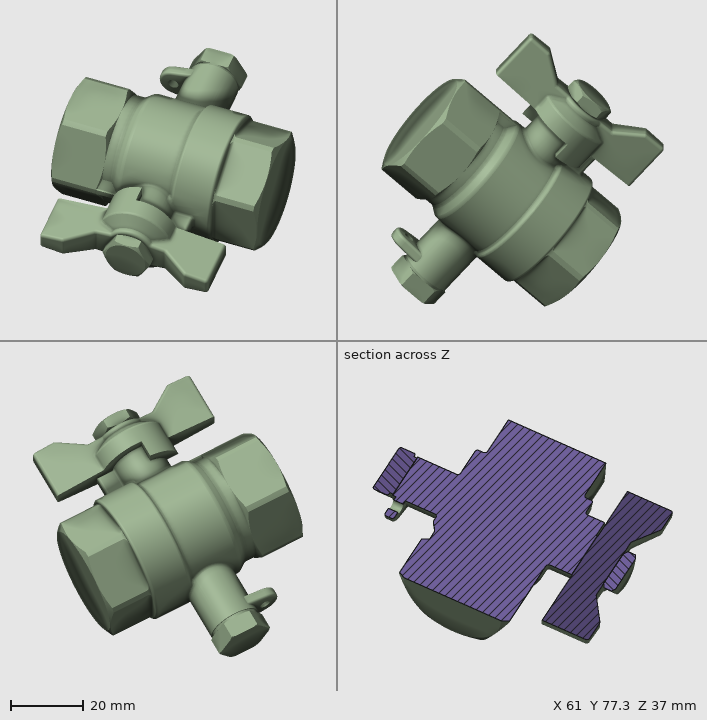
import cadquery as cq
import math


port_x = 30.495
hex_flat_r = 15.45
hex_corner_r = 17.4
port_chamfer = 1.1
port_face_r = 15.3
left_hex_end_x = -15.45
neck_r = hex_flat_r
left_cone_x = (-12.45, -9.8)
barrel_r = hex_corner_r
step_cone_x = (5.2, 6.1)
collar_r = 18.51
collar_end_x = 17.5
left_cone_fillet = 1.8
step_fillet = 0.8
collar_fillet = 0.8
flat_root_fillet = 0.85

rib_half_width = 0.83
rib_wall_r = 16.85
rib_root_half_width = 3.25
rib_x = (-16.5, -10.05)

boss_r = 7.4
boss_front_y = -25.1
boss_back_y = 31.6
boss_root_fillet = 0.85

stop_half_z = 2.0
stop_end_x = 12.6
stop_end_y = -24.7
stop_fillet = 0.8

lug_y = 28.9
lug_thickness = 3.1
lug_tip_x = -10.2
lug_tip_r = 4.25
lug_flare_angle = 12.3
lug_hole_d = 3.0
lug_fillet = 0.8

plug_end_y = 37.6
plug_hex_y = 32.5
plug_flat_r = 6.995
plug_neck_r = 7.0
plug_chamfer = 0.3

handle_end_y = -39.7
wing_half_span = 24.9
wing_ledge_x = 17.85
wing_valley_x = 10.1
wing_center_half_z = 4.95
wing_tip_half_z = 2.5
wing_fillet = 0.9
wing_bend_fillet = 0.9
hub_r = 10.9
hub_cone_y = (-30.15, -32.7)
hub_ring_r = 7.35
hub_end_y = -34.3
hub_edge_fillet = 0.8
skirt_end_y = -20.2
skirt_gap_x = 1.8
wing_root_fillet = 0.9

bolt_end_y = -38.1
bolt_flat_r = 6.1
bolt_chamfer = 0.7


def cylinder_y(radius, y_start, y_end):
    """Cylinder about the Y axis from y_start up to y_end."""
    return cq.Workplane("XZ", origin=(0, y_start, 0)).circle(radius).extrude(y_start - y_end)


def edges_in_box(body, x_span, y_span, half_z, direction=None):
    """Edges whose centers lie in a box that is symmetric about Z = 0."""
    margin = 0.1
    low = (x_span[0] - margin, y_span[0] - margin, -half_z - margin)
    high = (x_span[1] + margin, y_span[1] + margin, half_z + margin)
    found = body.edges(cq.selectors.BoxSelector(low, high))
    if direction:
        found = found.edges(direction)
    return found.vals()


def circles(body, x, radius):
    """Circular edges about the X axis at a given place."""
    return [
        edge for edge in body.edges("%CIRCLE").vals()
        if math.isclose(edge.arcCenter().x, x, abs_tol=0.01)
        and math.isclose(edge.radius(), radius, abs_tol=0.01)
    ]


def turned_barrel():
    points = [
        (left_hex_end_x - port_chamfer, 0),
        (left_hex_end_x - port_chamfer, neck_r),
        (left_cone_x[0], neck_r),
        (left_cone_x[1], barrel_r),
        (step_cone_x[0], barrel_r),
        (step_cone_x[1], collar_r),
        (collar_end_x, collar_r),
        (collar_end_x, 0),
    ]
    barrel = cq.Workplane("XY").polyline(points).close().revolve(360, (0, 0, 0), (1, 0, 0))
    fillets = [
        (left_cone_x[0], neck_r, left_cone_fillet),
        (left_cone_x[1], barrel_r, left_cone_fillet),
        (step_cone_x[0], barrel_r, step_fillet),
        (step_cone_x[1], collar_r, step_fillet),
        (collar_end_x, collar_r, collar_fillet),
    ]
    for x, radius, size in fillets:
        barrel = barrel.newObject(circles(barrel, x, radius)).fillet(size)
    return barrel


def left_hex():
    """Port hexagon with flats facing +Z and -Z, chamfered at both ends."""
    points = [
        (-port_x, 0),
        (-port_x, port_face_r),
        (-port_x + port_chamfer, hex_corner_r),
        (left_hex_end_x - port_chamfer, hex_corner_r),
        (left_hex_end_x, neck_r),
        (left_hex_end_x, 0),
    ]
    turned = cq.Workplane("XY").polyline(points).close().revolve(360, (0, 0, 0), (1, 0, 0))
    across_corners = 2 * hex_flat_r / math.cos(math.pi / 6)
    prism = (
        cq.Workplane("YZ", origin=(-port_x, 0, 0))
        .polygon(6, across_corners)
        .extrude(port_x + left_hex_end_x)
    )
    return turned.intersect(prism)


def right_hex():
    """Port hexagon with flats facing +Y and -Y, milled up to a filleted root at the collar."""
    points = [
        (collar_end_x, 0),
        (collar_end_x, hex_corner_r),
        (port_x - port_chamfer, hex_corner_r),
        (port_x, port_face_r),
        (port_x, 0),
    ]
    turned = cq.Workplane("XY").polyline(points).close().revolve(360, (0, 0, 0), (1, 0, 0))
    cut_length = port_x - collar_end_x
    cutter = (
        cq.Workplane("XY")
        .box(cut_length, hex_corner_r, 2 * hex_corner_r, centered=(False, False, True))
        .translate((collar_end_x, hex_flat_r, 0))
        .edges("<X and <Y")
        .fillet(flat_root_fillet)
    )
    for side in range(6):
        turned = turned.cut(cutter.rotate((0, 0, 0), (1, 0, 0), 60 * side))
    return turned


def neck_rib():
    """Rib on the -Y side with a straight crest and sides that slope down to the neck."""
    crest_y = -math.sqrt(barrel_r**2 - rib_half_width**2)
    root_y = -math.sqrt(neck_r**2 - rib_root_half_width**2)
    return (
        cq.Workplane("YZ", origin=(rib_x[0], 0, 0))
        .moveTo(crest_y, rib_half_width)
        .lineTo(-rib_wall_r, rib_half_width)
        .lineTo(root_y, rib_root_half_width)
        .lineTo(root_y, -rib_root_half_width)
        .lineTo(-rib_wall_r, -rib_half_width)
        .lineTo(crest_y, -rib_half_width)
        .threePointArc((-barrel_r, 0), (crest_y, rib_half_width))
        .close()
        .extrude(rib_x[1] - rib_x[0])
    )


def add_handle_stop(housing):
    """Add the block beside the front boss that limits the quarter turn."""
    block = (
        cq.Workplane("XY")
        .box(stop_end_x, -stop_end_y - neck_r, 2 * stop_half_z, centered=(False, False, True))
        .translate((0, stop_end_y, 0))
        .edges("(>X or <Y) and (>Z or <Z)")
        .fillet(stop_fillet)
    )
    housing = housing.union(block)
    boss_seam = edges_in_box(housing, (boss_r - 0.8, boss_r), (stop_end_y + 0.8, -collar_r), stop_half_z)
    collar_seam = edges_in_box(housing, (boss_r, stop_end_x), (-collar_r - 0.8, -collar_r + 0.8), stop_half_z)
    return housing.newObject(boss_seam + collar_seam).fillet(stop_fillet)


def seal_lug():
    """Flared plate with a round tip and a wire hole."""
    flare = math.radians(lug_flare_angle)
    tangent_x = lug_tip_x - lug_tip_r * math.sin(flare)
    tangent_z = lug_tip_r * math.cos(flare)
    root_z = tangent_z - tangent_x * math.tan(flare)
    outer = (
        cq.Workplane("XZ", origin=(0, lug_y + lug_thickness / 2, 0))
        .moveTo(0, root_z)
        .lineTo(tangent_x, tangent_z)
        .threePointArc((lug_tip_x - lug_tip_r, 0), (tangent_x, -tangent_z))
        .lineTo(0, -root_z)
        .close()
        .extrude(lug_thickness)
    )
    rounded = outer.faces("<Y or >Y").edges("not >X").fillet(lug_fillet)
    hole = cylinder_y(lug_hole_d / 2, lug_y - lug_thickness, lug_y + lug_thickness)
    outside = cq.Workplane("XY").box(46.4, 7.7, 46.4).translate((-23.2, lug_y, 0))
    return rounded.cut(hole.translate((lug_tip_x, 0, 0))).intersect(outside)


def add_bosses(barrel):
    """Add the front and back bosses with a fillet around each root."""
    barrel = barrel.union(cylinder_y(boss_r, boss_front_y, boss_back_y))
    roots = []
    for y_span in ((-collar_r, -neck_r), (neck_r, collar_r)):
        roots += edges_in_box(barrel, (-boss_r, boss_r), y_span, boss_r)
    return barrel.newObject(roots).fillet(boss_root_fillet)


def make_housing():
    housing = add_handle_stop(add_bosses(turned_barrel()))
    for feature in (left_hex(), right_hex(), neck_rib(), seal_lug()):
        housing = housing.union(feature)
    return housing


def hex_head(flat_r, y_start, y_end, chamfer):
    """Hexagon about Y with corners facing +X and -X and both ends chamfered at 30 degrees."""
    corner_r = flat_r / math.cos(math.pi / 6)
    end_r = corner_r - chamfer / math.tan(math.pi / 6)
    points = [
        (0, y_start),
        (end_r, y_start),
        (corner_r, y_start + chamfer),
        (corner_r, y_end - chamfer),
        (end_r, y_end),
        (0, y_end),
    ]
    turned = cq.Workplane("XY").polyline(points).close().revolve(360, (0, 0, 0), (0, 1, 0))
    prism = (
        cq.Workplane("XZ", origin=(0, y_start, 0))
        .polygon(6, 2 * corner_r)
        .extrude(y_start - y_end)
    )
    return turned.intersect(prism)


def make_plug():
    head = hex_head(plug_flat_r, plug_hex_y, plug_end_y, plug_chamfer)
    return head.union(cylinder_y(plug_neck_r, boss_back_y, plug_hex_y))


def wing():
    """Wing toward +X that thins toward its tip."""
    plate = (
        cq.Workplane("XY")
        .moveTo(0, boss_front_y)
        .lineTo(wing_half_span, boss_front_y)
        .lineTo(wing_half_span, handle_end_y)
        .lineTo(wing_ledge_x, handle_end_y)
        .lineTo(wing_valley_x, hub_end_y)
        .lineTo(0, hub_end_y)
        .close()
        .extrude(wing_center_half_z, both=True)
    )
    plate = plate.edges("|Z").edges("not (>X or <X)").fillet(wing_bend_fillet)
    taper = (
        cq.Workplane("XZ", origin=(0, boss_front_y, 0))
        .moveTo(0, wing_center_half_z)
        .lineTo(wing_half_span, wing_tip_half_z)
        .lineTo(wing_half_span, -wing_tip_half_z)
        .lineTo(0, -wing_center_half_z)
        .close()
        .extrude(boss_front_y - handle_end_y)
    )
    return plate.intersect(taper)


def hub():
    """Turned hub with a cone and a raised ring under the bolt."""
    points = [
        (0, skirt_end_y),
        (hub_r, skirt_end_y),
        (hub_r, hub_cone_y[0]),
        (hub_ring_r, hub_cone_y[1]),
        (hub_ring_r, hub_end_y),
        (0, hub_end_y),
    ]
    turned = cq.Workplane("XY").polyline(points).close().revolve(360, (0, 0, 0), (0, 1, 0))
    shoulder = cq.selectors.NearestToPointSelector((0, hub_cone_y[0], hub_r))
    return turned.edges(shoulder).fillet(hub_edge_fillet)


def skirt_cuts():
    """Bore around the boss and the two quarters that clear the handle stop."""
    skirt_length = skirt_end_y - boss_front_y
    bore = cylinder_y(boss_r, boss_front_y, skirt_end_y)
    quarter = (
        cq.Workplane("XY")
        .box(hub_r + skirt_gap_x, skirt_length, hub_r + stop_half_z, centered=False)
        .translate((-skirt_gap_x, boss_front_y, -stop_half_z))
    )
    return bore.union(quarter).union(quarter.rotate((0, 0, 0), (0, 1, 0), 180))


def make_handle():
    right_wing = wing()
    handle = hub().union(right_wing.union(right_wing.mirror("YZ")))

    roots = []
    for x_span in ((-hub_r, -hub_ring_r / 2), (hub_ring_r / 2, hub_r)):
        roots += edges_in_box(handle, x_span, (hub_end_y + 0.4, boss_front_y - 0.4), wing_center_half_z, "not |Z")
    handle = handle.newObject(roots).fillet(wing_root_fillet)

    tip_rims = handle.edges(">X or <X").edges("not >Y").vals()
    ring_rims = []
    for z in (-hub_ring_r, hub_ring_r):
        ring_rims += handle.edges(cq.selectors.NearestToPointSelector((0, hub_end_y, z))).vals()
    handle = handle.newObject(tip_rims + ring_rims).fillet(wing_fillet)
    return handle.cut(skirt_cuts())


def make_bolt():
    return hex_head(bolt_flat_r, bolt_end_y, hub_end_y, bolt_chamfer)


housing = make_housing()
plug = make_plug()
handle = make_handle()
bolt = make_bolt()

result = cq.Compound.makeCompound([housing.val(), plug.val(), handle.val(), bolt.val()])